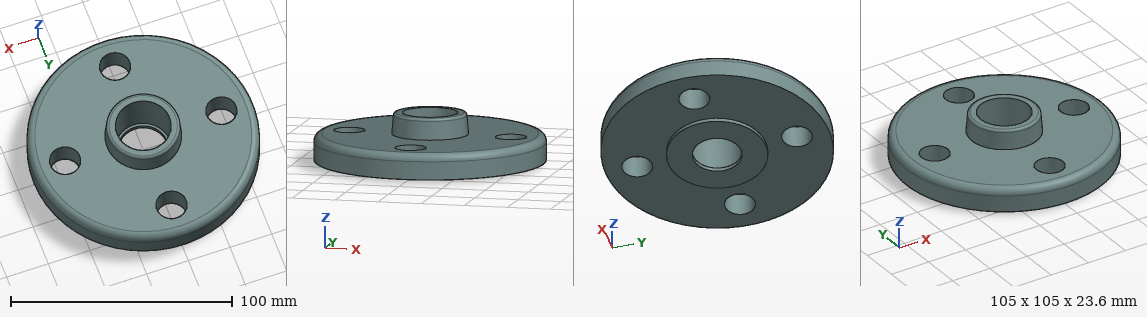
import cadquery as cq

flange_diameter = 105.0
flange_thickness = 12.0
flange_edge_radius = 3.6

face_diameter = 45.8
face_height = 1.9

hub_base_diameter = 34.6
hub_top_diameter = 33.1
hub_height = 9.7
hub_edge_radius = 1.3

socket_diameter = 25.1
bore_diameter = 22.5

bolt_hole_diameter = 14.0
bolt_circle_diameter = 75.0
bolt_hole_count = 4

flange_bottom = face_height
flange_top = flange_bottom + flange_thickness
hub_top = flange_top + hub_height
socket_floor = flange_bottom


def cylinder(diameter, bottom, top):
    return cq.Workplane("XY").workplane(offset=bottom).circle(diameter / 2).extrude(top - bottom)


def make_flange():
    disc = cylinder(flange_diameter, flange_bottom, flange_top)
    return disc.faces(">Z").edges().fillet(flange_edge_radius)


def make_hub():
    cone = (
        cq.Workplane("XY")
        .workplane(offset=flange_top)
        .circle(hub_base_diameter / 2)
        .workplane(offset=hub_height)
        .circle(hub_top_diameter / 2)
        .loft(ruled=True)
    )
    return cone.faces(">Z").edges().fillet(hub_edge_radius)


def make_bolt_holes():
    return (
        cq.Workplane("XY")
        .workplane(offset=flange_bottom)
        .polarArray(bolt_circle_diameter / 2, 0, 360, bolt_hole_count)
        .circle(bolt_hole_diameter / 2)
        .extrude(flange_thickness)
    )


raised_face = cylinder(face_diameter, 0, flange_bottom)
body = make_flange().union(raised_face).union(make_hub())

bore = cylinder(bore_diameter, 0, hub_top)
socket = cylinder(socket_diameter, socket_floor, hub_top)

result = body.cut(bore).cut(socket).cut(make_bolt_holes())